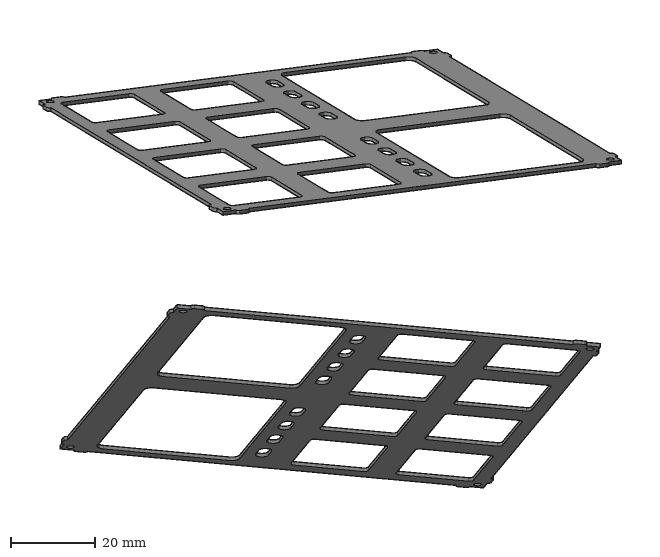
import cadquery as cq

overall = 105.6
thickness = 0.91
tab_height = 0.7
tab_width = 3.4
tab_radius = tab_height
tab_offset = 47.0
body = overall - 2 * tab_height

hole_diameter = 1.8
hole_offset = 50.1

window_width = 45.0
window_height = 35.0
window_radius = 2.0
window_center = 26.7

slot_length = 6.0
slot_width = 3.1
slot_pitch = 10.0
slots_per_row = 4
slot_row_y = 4.9

square_side = 19.0
square_radius = 1.0
square_pitch = 25.9
square_columns = 4
square_rows = 2


def centered_positions(count, pitch):
    """Evenly spaced positions, symmetric about zero."""
    return [(i - (count - 1) / 2) * pitch for i in range(count)]


def rounded_cutter(width, height, radius, centers):
    """Rectangular through-cutters with rounded vertical edges."""
    return (
        cq.Workplane("XY")
        .pushPoints(centers)
        .rect(width, height)
        .extrude(thickness)
        .edges("|Z")
        .fillet(radius)
    )


def edge_tabs():
    """Shallow tabs with rounded outer corners, two at each end of both pairs of opposite sides."""
    bar = cq.Workplane("XY").rect(tab_width, overall).extrude(thickness).edges("|Z").fillet(tab_radius)
    bars = bar.translate((tab_offset, 0, 0)).union(bar.translate((-tab_offset, 0, 0)))
    return bars.union(bars.rotate((0, 0, 0), (0, 0, 1), 90))


plate = cq.Workplane("XY").rect(body, body).extrude(thickness).union(edge_tabs())

corner_holes = (
    cq.Workplane("XY")
    .rect(2 * hole_offset, 2 * hole_offset, forConstruction=True)
    .vertices()
    .circle(hole_diameter / 2)
    .extrude(thickness)
)

window_columns = (-window_center, window_center)
large_windows = rounded_cutter(
    window_width,
    window_height,
    window_radius,
    [(x, window_center) for x in window_columns],
)

slot_centers = [
    (x + step, slot_row_y)
    for x in window_columns
    for step in centered_positions(slots_per_row, slot_pitch)
]
slots = cq.Workplane("XY").pushPoints(slot_centers).slot2D(slot_length, slot_width).extrude(thickness)

square_centers = [
    (x, -(row + 0.5) * square_pitch)
    for x in centered_positions(square_columns, square_pitch)
    for row in range(square_rows)
]
square_windows = rounded_cutter(square_side, square_side, square_radius, square_centers)

result = plate.cut(corner_holes).cut(large_windows).cut(slots).cut(square_windows)